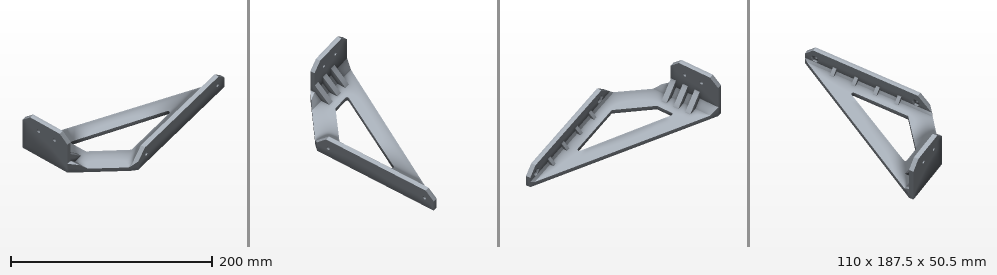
import cadquery as cq

length_x = 110.0
length_y = 187.5
height_z = 50.5

thickness = 5.0
front_wall_width = 56.5
side_wall_height = 23.2
side_wall_front_y = 56.8
corner_cut = 9.8
inner_x = length_x - thickness
inner_y = thickness

knee_y = 40.1
side_end_y = 45.8

window_right_x = 91.0
window_front_y = 30.4
window_left_x = 35.6
window_top_y = 129.2
window_knee_x = 56.2
window_knee_y = 59.6
window_radius = 1.9

front_filler = 7.9
side_filler = 2.5
filler_drop = 0.25

front_rib_leg = 17.6
front_rib_width = 6.0
front_rib_pitch = 14.0
front_rib_count = 3
front_rib_first_x = 22.0
side_rib_leg = 6.5
side_rib_width = 4.1
side_rib_pitch = 25.0
side_rib_count = 4
side_rib_first_y = 76.0

hole_diameter = 4.0
front_hole_z = 37.0
front_hole_xs = (20.0, 40.0)
side_hole_z = 11.8
side_hole_ys = (59.0, 176.0)
nut_across_corners = 8.8
nut_pocket_depth = thickness / 2


def base_outline():
    return cq.Workplane("XY").polyline([
        (0, 0),
        (front_wall_width, 0),
        (inner_x, knee_y),
        (length_x, side_end_y),
        (length_x, length_y),
        (inner_x, length_y),
        (0, inner_y),
    ]).close()


def make_window():
    blank = cq.Workplane("XY").polyline([
        (window_left_x, window_front_y),
        (window_knee_x, window_front_y),
        (window_right_x, window_knee_y),
        (window_right_x, window_top_y),
    ]).close().extrude(thickness)
    return blank.edges("|Z").fillet(window_radius)


def make_front_wall():
    return (
        cq.Workplane("XY")
        .box(front_wall_width, thickness, height_z, centered=False)
        .edges("|Y and >Z")
        .chamfer(corner_cut)
    )


def make_side_wall():
    """Side wall whose front end slopes down to the base at 45 degrees."""
    slope_foot_y = side_wall_front_y - side_wall_height
    return cq.Workplane("YZ").workplane(offset=inner_x).polyline([
        (slope_foot_y, 0),
        (length_y, 0),
        (length_y, side_wall_height - corner_cut),
        (length_y - corner_cut, side_wall_height),
        (side_wall_front_y, side_wall_height),
    ]).close().extrude(thickness)


def front_wedge(leg, start_x, width):
    """Prism leaning at 45 degrees against the back of the front wall."""
    top_z = thickness + leg
    reach = inner_y + top_z
    profile = cq.Workplane("YZ").workplane(offset=start_x).polyline([
        (0, 0),
        (reach, 0),
        (inner_y, top_z),
        (0, top_z),
    ]).close()
    return profile.extrude(width)


def side_wedge(leg, start_y, width):
    """Prism leaning at 45 degrees against the inner face of the side wall."""
    return cq.Workplane("XZ", origin=(0, start_y, 0)).polyline([
        (inner_x, thickness),
        (inner_x - leg, thickness),
        (inner_x, thickness + leg),
    ]).close().extrude(-width)


def make_front_filler():
    """Sloped filler, its top falling gently beyond the end of the front wall."""
    top_z = thickness + front_filler
    tip_x = front_wall_width + top_z / filler_drop
    cap = cq.Workplane("XZ").polyline([
        (0, 0),
        (tip_x, 0),
        (front_wall_width, top_z),
        (0, top_z),
    ]).close().extrude(-length_y)
    return front_wedge(front_filler, 0, length_x).intersect(cap)


def make_side_filler():
    """Sloped filler along the side wall, cut off by the wall's sloping front end."""
    wall_profile = make_side_wall().translate((-thickness, 0, 0))
    return side_wedge(side_filler, 0, length_y).intersect(wall_profile)


def make_front_hole(x):
    return (
        cq.Workplane("XZ", origin=(x, 0, front_hole_z))
        .circle(hole_diameter / 2)
        .extrude(-thickness)
    )


def make_side_hole(y):
    """Screw hole with a hexagonal nut pocket in the inner face."""
    plane = cq.Workplane("YZ", origin=(inner_x, y, side_hole_z))
    hole = plane.circle(hole_diameter / 2).extrude(thickness)
    nut = plane.polygon(6, nut_across_corners).extrude(nut_pocket_depth)
    return hole.union(nut)


body = base_outline().extrude(thickness)
body = body.union(make_front_wall())
body = body.union(make_side_wall())
body = body.union(make_front_filler())
body = body.union(make_side_filler())
body = body.intersect(base_outline().extrude(height_z))
body = body.cut(make_window())

for i in range(front_rib_count):
    rib_x = front_rib_first_x + i * front_rib_pitch
    body = body.union(front_wedge(front_rib_leg, rib_x, front_rib_width))

for i in range(side_rib_count):
    rib_y = side_rib_first_y + i * side_rib_pitch
    body = body.union(side_wedge(side_rib_leg, rib_y, side_rib_width))

for hole_x in front_hole_xs:
    body = body.cut(make_front_hole(hole_x))

for hole_y in side_hole_ys:
    body = body.cut(make_side_hole(hole_y))

result = body